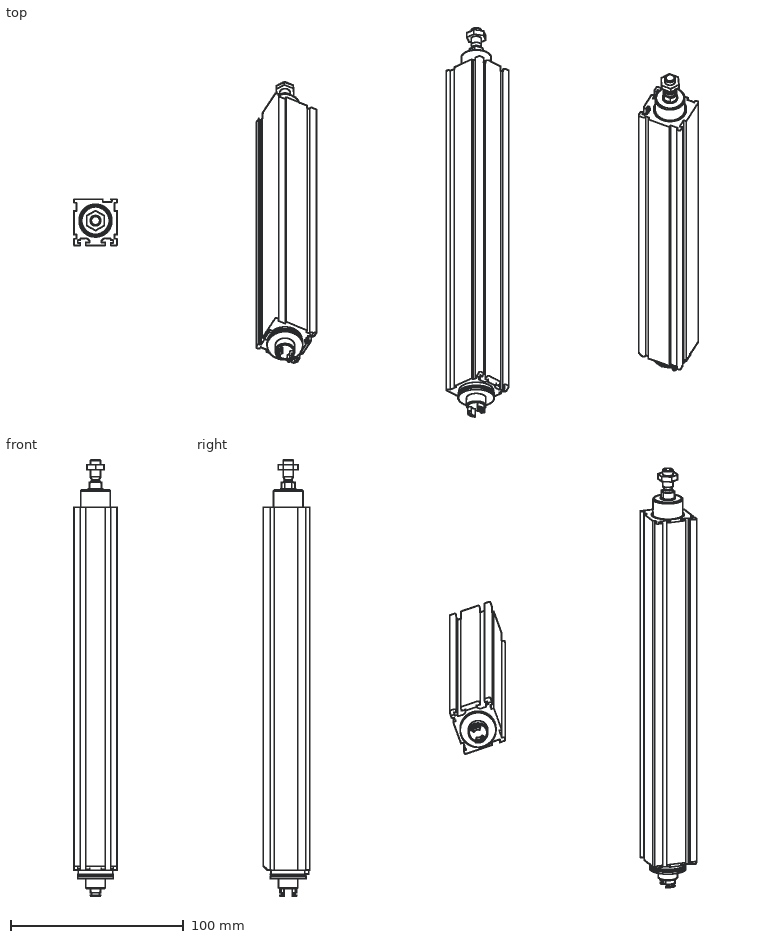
import cadquery as cq
import math

SQUARE = 25.0
HALF = SQUARE / 2
FOOT = 2.0
HOUSING_LENGTH = 210.0
EDGE_RADIUS = 0.75
SIDE_GROOVE_DEPTH = 1.5
BACK_GROOVE_DEPTH = 1.7
BEVEL_DEPTH = 2.4

ARC_MIDDLE = 1 - math.sqrt(0.5)

BACK = HALF
FRONT = -HALF - FOOT

SIDE_GROOVE_MOUTHS = [(5.65, 10.2), (-8.05, -10.35)]

BACK_GROOVE_START = 4.2
BACK_GROOVE_MOUTH = 8.75
BACK_GROOVE_HOOK = 9.5
BACK_GROOVE_END = 9.2

SLOT_MOUTH = (5.7, 8.75)
SLOT_WIDE = (3.4, 10.25)
SLOT_ARC_START = 6.5
SLOT_CEILING_Y = -10.35
SLOT_ARC_END_Y = -12.0
SLOT_SHOULDER_Y = -11.3
SLOT_INNER_LIP_Y = -12.6
SLOT_OUTER_LIP_Y = -12.9

COLLAR_DIAMETER = 17.27
COLLAR_HEIGHT = 10.0
COLLAR_FLANGE_DIAMETER = 19.0
COLLAR_FLANGE_DEPTH = 1.0
COLLAR_CHAMFER = 0.7
WIPER_DIAMETER = 8.63
WIPER_HEIGHT = 0.6

ROD_DIAMETER = 8.0
ROD_FLATS = 7.0
NECK_CONE = 1.0
ROD_SHOULDER = 14.3
THREAD_DIAMETER = 6.0
THREAD_LENGTH = 10.0
THREAD_CHAMFER = 0.6
THREAD_RUNOUT = 1.6
UNDERCUT_DIAMETER = 4.4
ROD_TOP = 27.5

NUT_FLATS = 10.0
NUT_THICKNESS = 3.0
NUT_OFFSET = 3.0

PLATE_DIAMETER = 20.0
PLATE_THICKNESS = 2.2
TAB_WIDTH = 6.0
TAB_REACH = 11.9

RING_DIAMETER = 20.8
RING_THICKNESS = 2.8
RING_GROOVE_DEPTH = 0.6
RING_GROOVE_TOP = 0.5
RING_GROOVE_FLOOR = 0.4
RING_GROOVE_SLOPE = 0.7

BOSS_DIAMETER = 11.3
BOSS_HEIGHT = 5.6
BOSS_CHAMFER = 0.6
TAIL_LENGTH = 15.0
PRONG_RADIUS = 5.0
PRONG_INNER_RADIUS = 2.9
PRONG_HALF_ANGLE = 37.0
PRONG_GROOVE_DEPTH = 1.0
PRONG_GROOVE_WIDTH = 1.4
PRONG_TIP = 0.6
PRONG_CHAMFER = 0.4


def cylinder(diameter, z_low, z_high):
    return cq.Workplane("XY").workplane(offset=z_low).circle(diameter / 2).extrude(z_high - z_low)


def side_groove(side, sharp_edge, round_edge):
    """Groove along a side face; one mouth edge is sharp and the other is rounded."""
    face = side * HALF
    floor = side * (HALF - SIDE_GROOVE_DEPTH)
    toward_round = math.copysign(1, round_edge - sharp_edge)
    blend = EDGE_RADIUS * ARC_MIDDLE
    return (
        cq.Workplane("XY")
        .moveTo(face, sharp_edge)
        .lineTo(floor, sharp_edge)
        .lineTo(floor, round_edge)
        .lineTo(face - side * EDGE_RADIUS, round_edge)
        .threePointArc(
            (face - side * blend, round_edge + toward_round * blend),
            (face, round_edge + toward_round * EDGE_RADIUS))
        .close().extrude(HOUSING_LENGTH)
    )


def foot_slot(side):
    """Undercut slot that opens through rounded edges on the -Y face."""
    inner_mouth, outer_mouth = SLOT_MOUTH
    inner_wide, outer_wide = SLOT_WIDE
    blend = EDGE_RADIUS * ARC_MIDDLE
    arc_middle = (
        side * (inner_wide + (SLOT_ARC_START - inner_wide) * ARC_MIDDLE),
        SLOT_ARC_END_Y + (SLOT_CEILING_Y - SLOT_ARC_END_Y) * (1 - ARC_MIDDLE),
    )
    return (
        cq.Workplane("XY")
        .moveTo(side * (inner_mouth - EDGE_RADIUS), FRONT)
        .threePointArc(
            (side * (inner_mouth - blend), FRONT + blend),
            (side * inner_mouth, FRONT + EDGE_RADIUS))
        .lineTo(side * inner_mouth, SLOT_INNER_LIP_Y)
        .lineTo(side * inner_wide, SLOT_INNER_LIP_Y)
        .lineTo(side * inner_wide, SLOT_ARC_END_Y)
        .threePointArc(arc_middle, (side * SLOT_ARC_START, SLOT_CEILING_Y))
        .lineTo(side * outer_mouth, SLOT_CEILING_Y)
        .lineTo(side * outer_mouth, SLOT_SHOULDER_Y)
        .lineTo(side * outer_wide, SLOT_SHOULDER_Y)
        .lineTo(side * outer_wide, SLOT_OUTER_LIP_Y)
        .lineTo(side * outer_mouth, SLOT_OUTER_LIP_Y)
        .lineTo(side * outer_mouth, FRONT + EDGE_RADIUS)
        .threePointArc(
            (side * (outer_mouth + blend), FRONT + blend),
            (side * (outer_mouth + EDGE_RADIUS), FRONT))
        .close().extrude(HOUSING_LENGTH)
    )


def back_groove():
    floor = BACK - BACK_GROOVE_DEPTH
    return (
        cq.Workplane("XY")
        .polyline([
            (BACK_GROOVE_START, BACK), (BACK_GROOVE_START, floor), (BACK_GROOVE_END, floor),
            (BACK_GROOVE_HOOK, BACK - BACK_GROOVE_DEPTH / 2), (BACK_GROOVE_MOUTH, BACK),
        ])
        .close().extrude(HOUSING_LENGTH)
    )


def end_bevel():
    return (
        cq.Workplane("YZ")
        .polyline([(FRONT, 0), (FRONT + BEVEL_DEPTH, 0), (FRONT, BEVEL_DEPTH)])
        .close().extrude(HALF, both=True)
    )


def make_housing():
    body = (
        cq.Workplane("XY").center(0, (BACK + FRONT) / 2)
        .rect(SQUARE, BACK - FRONT).extrude(HOUSING_LENGTH)
        .edges("|Z").fillet(EDGE_RADIUS)
    )
    for side in (-1, 1):
        for sharp_edge, round_edge in SIDE_GROOVE_MOUTHS:
            body = body.cut(side_groove(side, sharp_edge, round_edge))
        body = body.cut(foot_slot(side))
    collar_seat = cylinder(COLLAR_FLANGE_DIAMETER, HOUSING_LENGTH - COLLAR_FLANGE_DEPTH, HOUSING_LENGTH)
    return body.cut(back_groove()).cut(end_bevel()).cut(collar_seat)


def make_collar():
    top = HOUSING_LENGTH + COLLAR_HEIGHT
    low = HOUSING_LENGTH - COLLAR_FLANGE_DEPTH
    body = cylinder(COLLAR_DIAMETER, low, top).faces(">Z").edges().chamfer(COLLAR_CHAMFER)
    body = body.union(cylinder(COLLAR_FLANGE_DIAMETER, low, HOUSING_LENGTH))
    body = body.union(cylinder(WIPER_DIAMETER, top, top + WIPER_HEIGHT))
    return body.cut(cylinder(ROD_DIAMETER, low, top + WIPER_HEIGHT))


def make_rod():
    base = HOUSING_LENGTH - COLLAR_FLANGE_DEPTH
    wiper_top = HOUSING_LENGTH + COLLAR_HEIGHT + WIPER_HEIGHT
    shoulder = HOUSING_LENGTH + ROD_SHOULDER
    top = HOUSING_LENGTH + ROD_TOP
    thread_end = top - THREAD_LENGTH
    rod_radius = ROD_DIAMETER / 2
    thread_radius = THREAD_DIAMETER / 2
    undercut_radius = UNDERCUT_DIAMETER / 2
    rod = (
        cq.Workplane("XZ")
        .polyline([
            (0, base), (rod_radius, base),
            (rod_radius, shoulder), (thread_radius, shoulder),
            (undercut_radius, shoulder + NECK_CONE), (undercut_radius, thread_end - THREAD_RUNOUT),
            (thread_radius, thread_end), (thread_radius, top - THREAD_CHAMFER),
            (thread_radius - THREAD_CHAMFER, top), (0, top),
        ])
        .close().revolve(360, (0, 0, 0), (0, 1, 0))
    )
    flat_depth = (ROD_DIAMETER - ROD_FLATS) / 2
    for side in (-1, 1):
        flat = (
            cq.Workplane("XY").workplane(offset=wiper_top)
            .center(side * (ROD_FLATS + flat_depth) / 2, 0)
            .rect(flat_depth, ROD_DIAMETER).extrude(shoulder - wiper_top)
        )
        rod = rod.cut(flat)
    return rod


def make_nut():
    top = HOUSING_LENGTH + ROD_TOP - NUT_OFFSET
    corner = NUT_FLATS / math.cos(math.pi / 6)
    nut = (
        cq.Workplane("XY").workplane(offset=top - NUT_THICKNESS)
        .transformed(rotate=(0, 0, 30)).polygon(6, corner).extrude(NUT_THICKNESS)
    )
    return nut.cut(cylinder(THREAD_DIAMETER, top - NUT_THICKNESS, top))


def make_plate():
    disc = cylinder(PLATE_DIAMETER, -PLATE_THICKNESS, 0)
    tab = (
        cq.Workplane("XY").center(0, TAB_REACH / 2).rect(TAB_WIDTH, TAB_REACH).extrude(-PLATE_THICKNESS)
    )
    return disc.union(tab)


def make_ring():
    top = -PLATE_THICKNESS
    low = top - RING_THICKNESS
    outer = RING_DIAMETER / 2
    inner = outer - RING_GROOVE_DEPTH
    groove_top = top - RING_GROOVE_TOP
    floor_low = groove_top - RING_GROOVE_FLOOR
    return (
        cq.Workplane("XZ")
        .polyline([
            (0, top), (outer, top), (outer, groove_top), (inner, groove_top), (inner, floor_low),
            (outer, floor_low - RING_GROOVE_SLOPE), (outer, low), (0, low),
        ])
        .close().revolve(360, (0, 0, 0), (0, 1, 0))
    )


def prong_sleeve(face):
    """Grooved tube from which the two prongs are taken."""
    groove_low = -TAIL_LENGTH + PRONG_TIP
    groove_high = groove_low + PRONG_GROOVE_WIDTH
    groove_floor = PRONG_RADIUS - PRONG_GROOVE_DEPTH
    return (
        cq.Workplane("XZ")
        .polyline([
            (PRONG_INNER_RADIUS, face), (PRONG_RADIUS, face), (PRONG_RADIUS, groove_high),
            (groove_floor, groove_high), (groove_floor, groove_low), (PRONG_RADIUS, groove_low),
            (PRONG_RADIUS, -TAIL_LENGTH + PRONG_CHAMFER), (PRONG_RADIUS - PRONG_CHAMFER, -TAIL_LENGTH),
            (PRONG_INNER_RADIUS, -TAIL_LENGTH),
        ])
        .close().revolve(360, (0, 0, 0), (0, 1, 0))
    )


def make_connector():
    top = -PLATE_THICKNESS - RING_THICKNESS
    face = top - BOSS_HEIGHT
    body = cylinder(BOSS_DIAMETER, face, top).faces("<Z").chamfer(BOSS_CHAMFER)
    sleeve = prong_sleeve(face)
    reach = 2 * PRONG_RADIUS
    spread = reach * math.tan(math.radians(PRONG_HALF_ANGLE))
    for side in (-1, 1):
        sector = (
            cq.Workplane("XY").workplane(offset=-TAIL_LENGTH)
            .polyline([(0, 0), (spread, side * reach), (-spread, side * reach)])
            .close().extrude(face + TAIL_LENGTH)
        )
        body = body.union(sleeve.intersect(sector))
    return body


housing = make_housing()
collar = make_collar()
rod = make_rod()
nut = make_nut()
plate = make_plate()
ring = make_ring()
connector = make_connector()

result = cq.Compound.makeCompound([
    housing.val(), collar.val(), rod.val(), nut.val(), plate.val(), ring.val(), connector.val(),
])